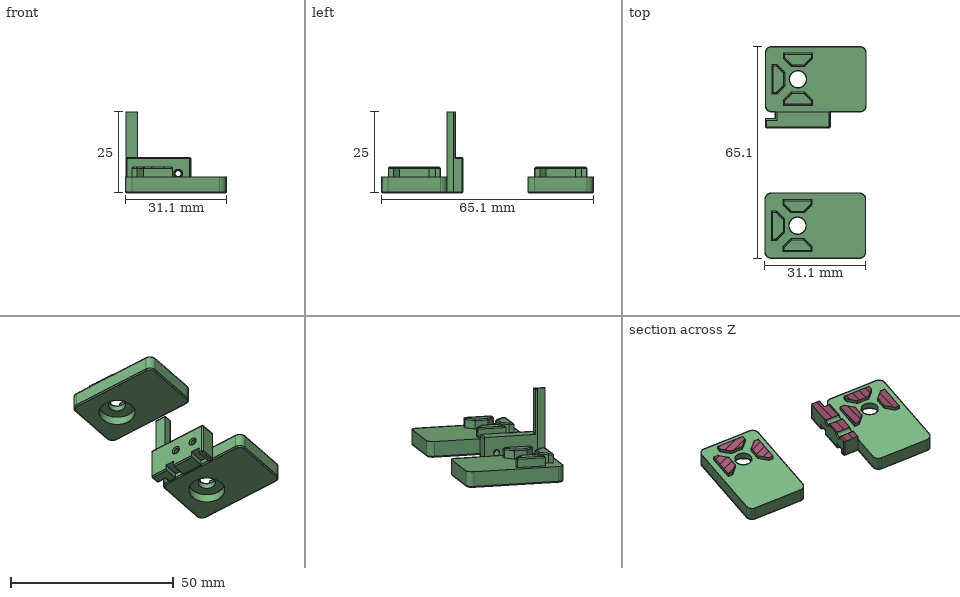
import cadquery as cq

PLATE_LENGTH = 31.0
PLATE_WIDTH = 20.1
PLATE_HEIGHT = 5.0
CORNER_RADIUS = 2.0
EDGE_CHAMFER = 0.4

HOLE_DIAMETER = 5.2
HOLE_X = 10.0
HOLE_Y = PLATE_WIDTH / 2

POCKET_DIAMETER = 11.0
POCKET_DEPTH = 3.0

RIDGE_HEIGHT = 3.0
RIDGE_INNER_DISTANCE = 4.0
RIDGE_OUTER_DISTANCE = 8.0
RIDGE_INNER_HALF_LENGTH = 2.0
RIDGE_OUTER_HALF_LENGTH = 4.5
RIDGE_CORNER_CUT = RIDGE_OUTER_HALF_LENGTH - RIDGE_INNER_HALF_LENGTH
RIDGE_ANGLES = (90, 180, 270)

BRACKET_LENGTH = 20.0
BRACKET_DEPTH = 5.0
BRACKET_HEIGHT = 11.0
BRACKET_BACK_Y = 0.05
BRACKET_FRONT_Y = BRACKET_BACK_Y - BRACKET_DEPTH

CHANNEL_LENGTH = 3.0
CHANNEL_DEPTH = 2.0
CHANNEL_Y = BRACKET_BACK_Y - CHANNEL_DEPTH
POST_WALL = 0.6
POST_HEIGHT = 25.0

SCREW_DIAMETER = 1.9
SCREW_SINK = 0.4
SCREW_SPACING = 6.5
LAST_SCREW_X = 16.1
SCREW_XS = (LAST_SCREW_X - SCREW_SPACING, LAST_SCREW_X)
SCREW_Z = 6.0

SLOT_LENGTH = 2.9
SLOT_HEIGHT = 1.9
SLOT_SPACING = 9.9
FIRST_SLOT_X = 5.7
SLOT_XS = (FIRST_SLOT_X, FIRST_SLOT_X + SLOT_SPACING)

TOTAL_WIDTH = 65.1
BRACKET_PLATE_X = 0.1
BRACKET_PLATE_Y = TOTAL_WIDTH - PLATE_WIDTH


def box(x, y, z, length, width, height):
    """Box with its lowest corner at (x, y, z)."""
    return cq.Workplane("XY").box(length, width, height, centered=False).translate((x, y, z))


def make_ridge(angle):
    """One ridge with cut inner corners, turned about the hole to the given angle."""
    ridge = (
        cq.Workplane("XY")
        .moveTo(RIDGE_INNER_DISTANCE, -RIDGE_INNER_HALF_LENGTH)
        .lineTo(RIDGE_INNER_DISTANCE + RIDGE_CORNER_CUT, -RIDGE_OUTER_HALF_LENGTH)
        .lineTo(RIDGE_OUTER_DISTANCE, -RIDGE_OUTER_HALF_LENGTH)
        .lineTo(RIDGE_OUTER_DISTANCE, RIDGE_OUTER_HALF_LENGTH)
        .lineTo(RIDGE_INNER_DISTANCE + RIDGE_CORNER_CUT, RIDGE_OUTER_HALF_LENGTH)
        .lineTo(RIDGE_INNER_DISTANCE, RIDGE_INNER_HALF_LENGTH)
        .close()
        .extrude(RIDGE_HEIGHT)
        .faces(">Z")
        .chamfer(EDGE_CHAMFER)
    )
    return ridge.rotate((0, 0, 0), (0, 0, 1), angle).translate((HOLE_X, HOLE_Y, PLATE_HEIGHT))


def make_plate():
    """Rounded plate with a pocketed hole and three ridges, its corner at the origin."""
    plate = box(0, 0, 0, PLATE_LENGTH, PLATE_WIDTH, PLATE_HEIGHT)
    plate = plate.edges("|Z").fillet(CORNER_RADIUS)
    plate = plate.faces("<Z").chamfer(EDGE_CHAMFER)
    hole = cq.Workplane("XY").center(HOLE_X, HOLE_Y).circle(HOLE_DIAMETER / 2).extrude(PLATE_HEIGHT)
    pocket = cq.Workplane("XY").center(HOLE_X, HOLE_Y).circle(POCKET_DIAMETER / 2).extrude(POCKET_DEPTH)
    plate = plate.cut(hole).cut(pocket)
    for angle in RIDGE_ANGLES:
        plate = plate.union(make_ridge(angle))
    return plate


def make_block():
    """Upright block with a notch in its back left corner and chamfered edges."""
    block = box(0, BRACKET_FRONT_Y, 0, BRACKET_LENGTH, BRACKET_DEPTH, BRACKET_HEIGHT)
    block = block.edges("<Y or (|Y and >X) or (|Y and <X)").chamfer(EDGE_CHAMFER)
    block = block.cut(box(0, CHANNEL_Y, 0, CHANNEL_LENGTH, CHANNEL_DEPTH, BRACKET_HEIGHT))
    notch_foot = (CHANNEL_LENGTH, CHANNEL_Y + CHANNEL_DEPTH / 2, 0)
    return block.edges(cq.NearestToPointSelector(notch_foot)).chamfer(EDGE_CHAMFER)


def make_post():
    """Thin upright angle whose two walls line the channel."""
    base_z = EDGE_CHAMFER
    post_y = CHANNEL_Y - POST_WALL
    height = POST_HEIGHT - base_z
    side_wall = box(CHANNEL_LENGTH, post_y, base_z, POST_WALL, CHANNEL_DEPTH + POST_WALL, height)
    front_wall = box(0, post_y, base_z, CHANNEL_LENGTH, POST_WALL, height)
    return side_wall.union(front_wall)


def make_screw_hole(x):
    """Cutter for a through hole with a conical countersink on the front face."""
    radius = SCREW_DIAMETER / 2
    front = cq.Workplane("XZ", origin=(x, BRACKET_FRONT_Y, SCREW_Z))
    shaft = front.circle(radius).extrude(-BRACKET_DEPTH)
    sink = cq.Solid.makeCone(
        radius + SCREW_SINK,
        radius,
        SCREW_SINK,
        pnt=cq.Vector(x, BRACKET_FRONT_Y, SCREW_Z),
        dir=cq.Vector(0, 1, 0),
    )
    return shaft.union(cq.Workplane(sink))


def make_bracket():
    """Chamfered block and post with screw holes and underside slots."""
    bracket = make_block().union(make_post())
    for x in SCREW_XS:
        bracket = bracket.cut(make_screw_hole(x))
    for x in SLOT_XS:
        bracket = bracket.cut(box(x, BRACKET_FRONT_Y, 0, SLOT_LENGTH, BRACKET_DEPTH, SLOT_HEIGHT))
    return bracket


def make_bracket_plate():
    """Plate and bracket in one piece, moved to the +Y end."""
    return make_plate().union(make_bracket()).translate((BRACKET_PLATE_X, BRACKET_PLATE_Y, 0))


plain_plate = make_plate()
bracket_plate = make_bracket_plate()

result = cq.Compound.makeCompound([plain_plate.solids().val(), bracket_plate.solids().val()])